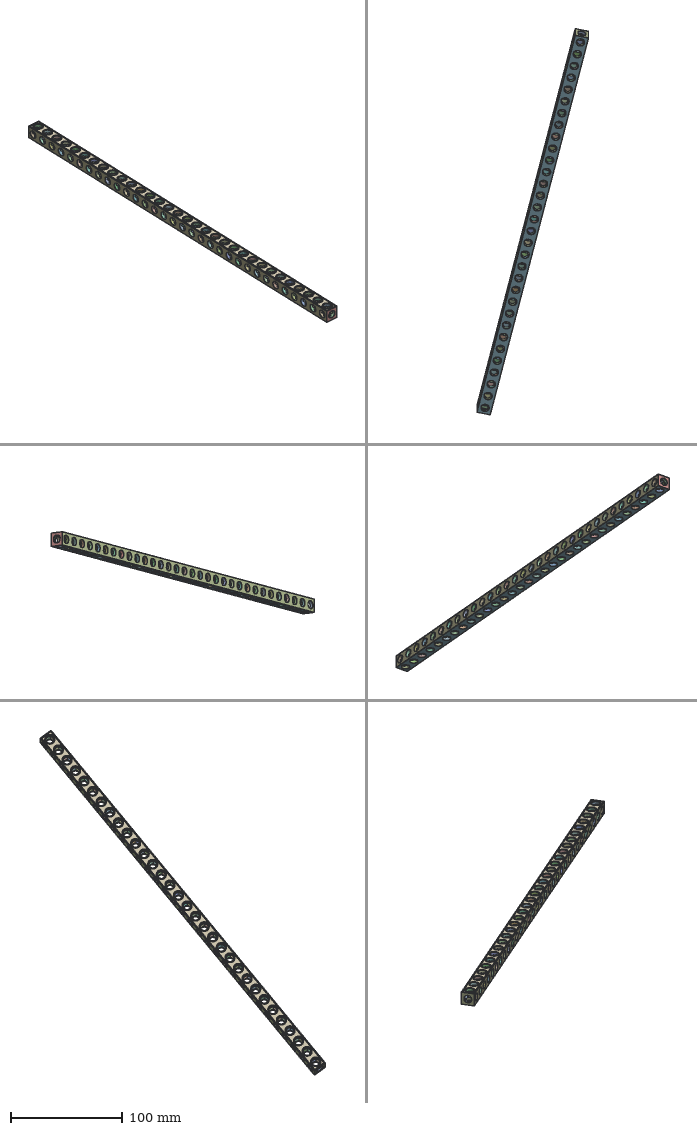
import cadquery as cq

pitch = 12.5
hole_count = 32
hole_diameter = 7.0
edge_chamfer = 0.3
wall = 1.1
pocket_depth = 0.2

length = hole_count * pitch
half_width = pitch / 2
hole_radius = hole_diameter / 2
mouth_radius = hole_radius + edge_chamfer
ring_radius = hole_radius + wall


def chamfered_hole(depth):
    """Cutter along Z, centred on the origin, for a through hole chamfered at both mouths."""
    half_depth = depth / 2
    straight_end = half_depth - edge_chamfer
    profile = [
        (0, -half_depth),
        (mouth_radius, -half_depth),
        (hole_radius, -straight_end),
        (hole_radius, straight_end),
        (mouth_radius, half_depth),
        (0, half_depth),
    ]
    return cq.Workplane("XZ").polyline(profile).close().revolve(360, (0, 0, 0), (0, 1, 0)).val()


def along_beam():
    """Points at every hole position along X."""
    return cq.Workplane("XY").rarray(pitch, pitch, hole_count, 1)


def vertical_holes():
    """Row of holes along Z."""
    hole = chamfered_hole(pitch)
    return along_beam().eachpoint(lambda place: hole.moved(place))


def side_holes():
    """Row of holes along Y."""
    hole = chamfered_hole(pitch).rotate(cq.Vector(), cq.Vector(1, 0, 0), 90)
    return along_beam().eachpoint(lambda place: hole.moved(place))


def lengthwise_bore():
    """Hole along X from end to end."""
    return cq.Workplane(chamfered_hole(length).rotate(cq.Vector(), cq.Vector(0, 1, 0), 90))


def top_pocket():
    """Shallow pocket in the top face that leaves a border and a ring around each hole."""
    floor = half_width - pocket_depth
    area = (
        cq.Workplane("XY")
        .workplane(offset=floor)
        .rect(length - 2 * wall, pitch - 2 * wall)
        .extrude(pocket_depth)
    )
    rings = along_beam().circle(ring_radius).extrude(half_width)
    return area.cut(rings)


beam = cq.Workplane("XY").box(length, pitch, pitch).edges().chamfer(edge_chamfer)

result = (
    beam.cut(top_pocket())
    .cut(vertical_holes())
    .cut(side_holes())
    .cut(lengthwise_bore())
)